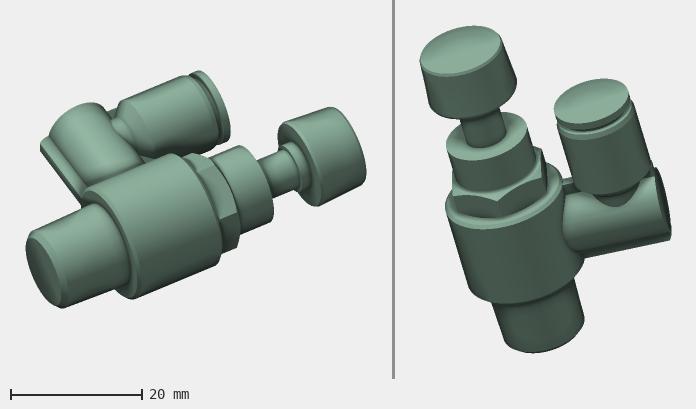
import cadquery as cq
import math


body_diameter = 18.5
body_start = 11.5
body_end = 26.35
body_chamfer = 0.5
body_middle = (body_start + body_end) / 2
plug_tip_diameter = 12.8
plug_taper = 1 / 16
plug_chamfer = 0.85

hex_across_flats = 13.95
hex_end = 30.55
hex_chamfer_angle = 30

neck_diameter = 11.2
neck_end = 30.95
collar_diameter = 12.75
collar_end = 36.75
stem_diameter = 6.35
stem_end = 43.1
flange_diameter = 7.7
flange_end = 44.7
knob_base_diameter = 13.95
knob_top_diameter = 13.0
knob_end = 52.95
knob_edge_radial = 0.2
knob_edge_axial = 0.4

arm_diameter = 10.15
arm_reach = 23.25
rib_thickness = 1.75
rib_width = 13.75
rib_corner_x = 0.65

socket_diameter = 12.3
socket_x = -17.05
socket_start = 25.9
socket_end = 36.9
socket_edge_axial = 0.8
cone_small_diameter = 8.2
cone_start = 24.0
groove_diameter = 10.0
groove_end = 37.85
ring_diameter = 11.75
ring_end = 39.0


def turned(stations, axis_x=0.0):
    """Solid of revolution about an axis parallel to Y, from (diameter, y) stations."""
    outline = [(0, stations[0][1])]
    outline += [(diameter / 2, y) for diameter, y in stations]
    outline.append((0, stations[-1][1]))
    solid = cq.Workplane("XY").polyline(outline).close().revolve(360, (0, 0, 0), (0, 1, 0))
    return solid.translate((axis_x, 0, 0))


def step(diameter, start, end):
    """Stations of one plain cylindrical step."""
    return [(diameter, start), (diameter, end)]


def plug_and_body():
    plug_root_diameter = plug_tip_diameter + plug_taper * (body_start - plug_chamfer)
    body_face_diameter = body_diameter - 2 * body_chamfer
    return turned([
        (plug_tip_diameter - 2 * plug_chamfer, 0),
        (plug_tip_diameter, plug_chamfer),
        (plug_root_diameter, body_start),
        (body_face_diameter, body_start),
        (body_diameter, body_start + body_chamfer),
        (body_diameter, body_end - body_chamfer),
        (body_face_diameter, body_end),
    ])


def hex_nut():
    across_corners = hex_across_flats / math.cos(math.radians(30))
    height = hex_end - body_end
    prism = (
        cq.Workplane("XZ", origin=(0, hex_end, 0))
        .transformed(rotate=(0, 0, 90))
        .polygon(6, across_corners)
        .extrude(height)
    )
    corner_drop = (across_corners - hex_across_flats) / 2 * math.tan(math.radians(hex_chamfer_angle))
    envelope = turned([
        (hex_across_flats, body_end),
        (across_corners, body_end + corner_drop),
        (across_corners, hex_end - corner_drop),
        (hex_across_flats, hex_end),
    ])
    return prism.intersect(envelope)


def adjusting_screw():
    stations = step(neck_diameter, body_middle, neck_end)
    stations += step(collar_diameter, neck_end, collar_end)
    stations += step(stem_diameter, collar_end, stem_end)
    stations += step(flange_diameter, stem_end, flange_end)
    stations += [
        (knob_base_diameter - 2 * knob_edge_radial, flange_end),
        (knob_base_diameter, flange_end + knob_edge_axial),
        (knob_top_diameter, knob_end - knob_edge_axial),
        (knob_top_diameter - 2 * knob_edge_radial, knob_end),
    ]
    return turned(stations)


def side_arm():
    return (
        cq.Workplane("YZ", origin=(-arm_reach, body_middle, 0))
        .circle(arm_diameter / 2)
        .extrude(arm_reach)
    )


def arm_rib():
    """Flat web on both sides of the arm, with its outer lower corner rounded by an arc."""
    low = body_middle - rib_width / 2
    high = body_middle + rib_width / 2
    arc_start_y = body_middle - arm_diameter / 2
    return (
        cq.Workplane("XY")
        .moveTo(0, high)
        .lineTo(-arm_reach, high)
        .lineTo(-arm_reach, arc_start_y)
        .tangentArcPoint((-arm_reach + rib_corner_x, low), relative=False)
        .lineTo(0, low)
        .close()
        .extrude(rib_thickness / 2, both=True)
    )


def tube_socket():
    stations = step(cone_small_diameter, body_middle, cone_start)
    stations += [
        (socket_diameter, socket_start),
        (socket_diameter, socket_end - socket_edge_axial),
        (ring_diameter, socket_end),
    ]
    stations += step(groove_diameter, socket_end, groove_end)
    stations += step(ring_diameter, groove_end, ring_end)
    return turned(stations, socket_x)


result = (
    plug_and_body()
    .union(hex_nut())
    .union(adjusting_screw())
    .union(side_arm())
    .union(arm_rib())
    .union(tube_socket())
)